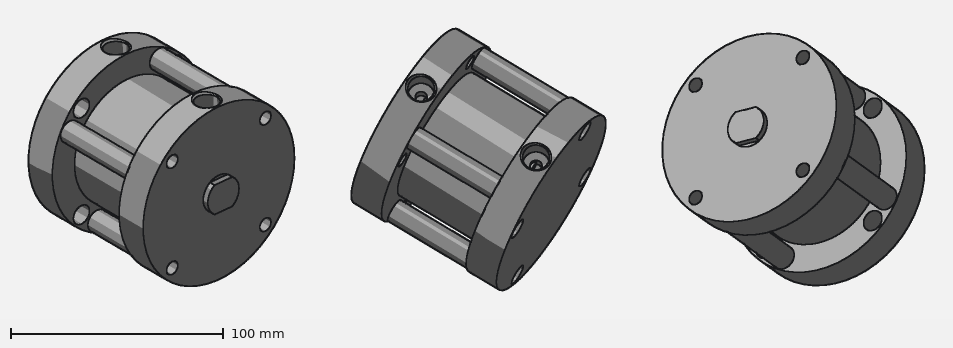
import cadquery as cq
import math


plate_diameter = 95.25
plate_thickness = 17.0
plate_gap = 47.15
front_plate_start = plate_thickness + plate_gap
overall_plate_length = front_plate_start + plate_thickness

barrel_diameter = 67.2
seat_depth = 7.1
barrel_length = plate_gap + 2 * seat_depth

pitch_radius = 41.4
rod_diameter = 11.6
rod_count = 4
rod_angle = 28.0
mounting_hole_count = 4
mounting_hole_angle = 45.0
rear_hole_diameter = 10.1
front_hole_diameter = 7.05

port_diameter = 12.6
port_mouth_diameter = 14.9
port_depth = 10.0
passage_diameter = 5.7
passage_depth = 17.1
drill_point_angle = 118.0

shaft_diameter = 19.6
shaft_across_flats = 16.2
shaft_projection = 3.2
shaft_start = front_plate_start + seat_depth


def rod_along_x(diameter, start, length, center=(0, 0)):
    """Cylinder parallel to X, with its center given as (Y, Z)."""
    return cq.Workplane("YZ", origin=(start, 0, 0)).center(*center).circle(diameter / 2).extrude(length)


def pitch_circle_points(count, first_angle):
    """Evenly spaced (Y, Z) points on the pitch circle, measured from +Z towards +Y."""
    angles = [math.radians(first_angle + i * 360 / count) for i in range(count)]
    return [(pitch_radius * math.sin(a), pitch_radius * math.cos(a)) for a in angles]


def turn_about_port(half_section, x):
    """Revolve a (radius, Z) half section about the vertical port axis at X = x."""
    return cq.Workplane("XZ").polyline(half_section).close().revolve().translate((x, 0, 0))


def drill_from_top(x, diameter, depth):
    """Drilled hole going down from the plate's top, with a conical bottom below its full depth."""
    radius = diameter / 2
    top = plate_diameter / 2
    bottom = top - depth
    tip = bottom - radius / math.tan(math.radians(drill_point_angle / 2))
    return turn_about_port([(0, top), (radius, top), (radius, bottom), (0, tip)], x)


def port_chamfer(x):
    """45 degree countersink at the mouth of a port."""
    mouth_radius = port_mouth_diameter / 2
    top = plate_diameter / 2
    return turn_about_port([(0, top), (mouth_radius, top), (0, top - mouth_radius)], x)


def make_plate(start, seat_start, hole_diameter):
    """End plate with a barrel seat, a stepped port and four mounting holes."""
    plate = rod_along_x(plate_diameter, start, plate_thickness)
    plate = plate.cut(rod_along_x(barrel_diameter, seat_start, seat_depth))

    port_x = start + plate_thickness / 2
    plate = plate.cut(drill_from_top(port_x, port_diameter, port_depth))
    plate = plate.cut(drill_from_top(port_x, passage_diameter, passage_depth))
    plate = plate.cut(port_chamfer(port_x))

    for point in pitch_circle_points(mounting_hole_count, mounting_hole_angle):
        plate = plate.cut(rod_along_x(hole_diameter, start, plate_thickness, point))
    return plate


def make_rear_plate():
    return make_plate(0, plate_thickness - seat_depth, rear_hole_diameter)


def make_front_plate():
    """Front end plate, bored for the piston rod."""
    plate = make_plate(front_plate_start, front_plate_start, front_hole_diameter)
    return plate.cut(rod_along_x(shaft_diameter, front_plate_start, plate_thickness))


def make_barrel():
    return rod_along_x(barrel_diameter, plate_thickness - seat_depth, barrel_length)


def make_tie_rod(center):
    """Tie rod between the inner faces of the plates."""
    return rod_along_x(rod_diameter, plate_thickness, plate_gap, center)


def make_piston_rod():
    """Round piston rod with two wrench flats on its projecting end."""
    round_part = rod_along_x(shaft_diameter, shaft_start, overall_plate_length - shaft_start)
    flatted_end = (
        cq.Workplane("YZ", origin=(overall_plate_length, 0, 0))
        .rect(shaft_diameter, shaft_across_flats)
        .extrude(shaft_projection)
        .intersect(rod_along_x(shaft_diameter, overall_plate_length, shaft_projection))
    )
    return round_part.union(flatted_end)


rear_plate = make_rear_plate()
front_plate = make_front_plate()
barrel = make_barrel()
tie_rods = [make_tie_rod(point) for point in pitch_circle_points(rod_count, rod_angle)]
piston_rod = make_piston_rod()

result = cq.Compound.makeCompound([
    rear_plate.val(),
    front_plate.val(),
    barrel.val(),
    *[tie_rod.val() for tie_rod in tie_rods],
    piston_rod.val(),
])